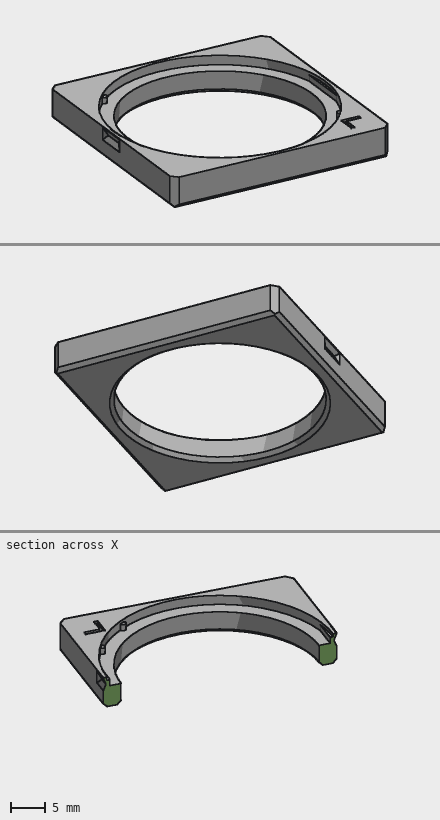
import cadquery as cq
import math

side = 36.6
height = 5.0
corner_chamfer = 1.0
bottom_chamfer = 0.62

bore_diameter = 31.0
seat_diameter = 35.4
seat_depth = 1.5
seat_floor = height - seat_depth

pad_height = 1.0
pad_inset = 1.05
pin_diameter = 1.02
pin_height = 1.0
pin_circle_radius = 17.6
diagonal_angle = 45.0
pin_half_spread = 12.5
pin_angles = (
    diagonal_angle - pin_half_spread,
    diagonal_angle + pin_half_spread,
    diagonal_angle + 180.0,
)

pocket_width = 5.0
pocket_height = 2.0
pocket_top_gap = 0.15
pocket_depth = 0.4
ridge_length = 3.0
pocket_middle = height - pocket_top_gap - pocket_height / 2

mark_position = 12.95
mark_length = 3.0
mark_width = 0.6
mark_depth = 0.4


def frame_body():
    """Block with cut vertical corners and chamfered lower sides."""
    block = cq.Workplane("XY").box(side, side, height, centered=(True, True, False))
    clipped_corners = block.edges("|Z").chamfer(corner_chamfer)
    return block.faces("<Z").chamfer(bottom_chamfer).intersect(clipped_corners)


def seat_disc(bottom, thickness):
    return cq.Workplane("XY", origin=(0, 0, bottom)).circle(seat_diameter / 2).extrude(thickness)


def flared_bore():
    """Through bore that widens at the bottom face by the same chamfer as the sides."""
    bore = cq.Workplane("XY").circle(bore_diameter / 2).extrude(height)
    flare = cq.Solid.makeCone(bore_diameter / 2 + bottom_chamfer, bore_diameter / 2, bottom_chamfer)
    return bore.union(cq.Workplane(flare))


def seat_pads():
    """Two segments of the seat circle, each with a flat inner wall."""
    clear_span = cq.Workplane("XY", origin=(0, 0, seat_floor)).box(
        side, side - 2 * pad_inset, pad_height, centered=(True, True, False)
    )
    return seat_disc(seat_floor, pad_height).cut(clear_span)


def pin(angle):
    x = pin_circle_radius * math.cos(math.radians(angle))
    y = pin_circle_radius * math.sin(math.radians(angle))
    return cq.Workplane("XY", origin=(x, y, seat_floor)).circle(pin_diameter / 2).extrude(pin_height)


def side_pocket():
    """Roof-shaped cutter for the -Y face: a wedge with both ends sloped in."""
    half_width = pocket_width / 2
    half_ridge = ridge_length / 2
    half_height = pocket_height / 2
    face_y = -side / 2
    ridge_y = face_y + pocket_depth
    wedge = (
        cq.Workplane("YZ", origin=(-half_width, 0, pocket_middle))
        .polyline([(face_y, -half_height), (ridge_y, 0), (face_y, half_height)])
        .close()
        .extrude(pocket_width)
    )
    sloped_ends = (
        cq.Workplane("XY", origin=(0, 0, pocket_middle - half_height))
        .polyline([
            (-half_width, face_y),
            (half_width, face_y),
            (half_ridge, ridge_y),
            (-half_ridge, ridge_y),
        ])
        .close()
        .extrude(pocket_height)
    )
    return wedge.intersect(sloped_ends)


def index_mark():
    """Two equal legs meeting at a right angle."""
    corner = cq.Workplane("XY", origin=(mark_position, mark_position, height - mark_depth))
    leg_x = corner.rect(mark_length, mark_width, centered=False).extrude(mark_depth)
    leg_y = corner.rect(mark_width, mark_length, centered=False).extrude(mark_depth)
    return leg_x.union(leg_y)


result = frame_body().cut(seat_disc(seat_floor, seat_depth))
result = result.cut(flared_bore())

result = result.union(seat_pads())
for pin_angle in pin_angles:
    result = result.union(pin(pin_angle))

front_pocket = side_pocket()
result = result.cut(front_pocket).cut(front_pocket.mirror("XZ"))
result = result.cut(index_mark())